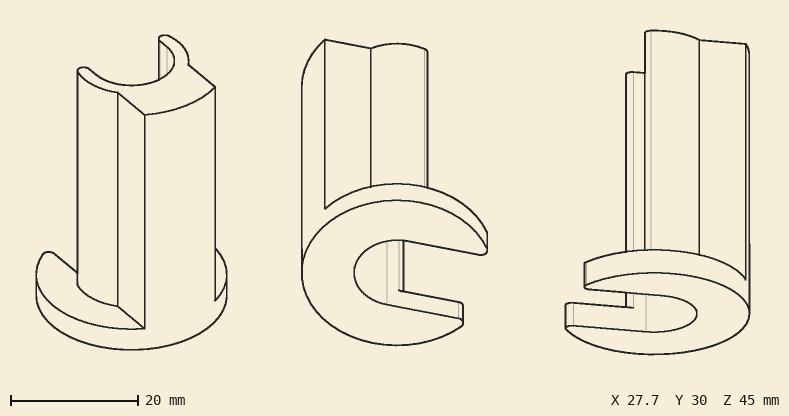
import cadquery as cq
import math

total_height = 45.0
flange_height = 4.0
flange_radius = 15.0
sleeve_radius = 9.0
bore_radius = 6.75
tip_radius = 1.0


def make_c_shape(outer_radius, height):
    """C-shaped extrusion: a disc with a U-shaped opening and two rounded tips.

    Each tip arc is tangent to both the outer circle and the side of the opening.
    """
    tip_center_distance = outer_radius - tip_radius
    tip_center_y = bore_radius + tip_radius
    tip_center_x = -math.sqrt(tip_center_distance**2 - tip_center_y**2)

    tangent_scale = outer_radius / tip_center_distance
    tangent_x = tip_center_x * tangent_scale
    tangent_y = tip_center_y * tangent_scale
    tip_end_x = tip_center_x - tip_radius

    return (
        cq.Workplane("XY")
        .moveTo(tip_center_x, bore_radius)
        .lineTo(0, bore_radius)
        .threePointArc((bore_radius, 0), (0, -bore_radius))
        .lineTo(tip_center_x, -bore_radius)
        .threePointArc((tip_end_x, -tip_center_y), (tangent_x, -tangent_y))
        .threePointArc((outer_radius, 0), (tangent_x, tangent_y))
        .threePointArc((tip_end_x, tip_center_y), (tip_center_x, bore_radius))
        .close()
        .extrude(height)
    )


def make_spine():
    """Full-height block behind the bore, as wide as the bore and ending on the flange's round rim."""
    rim_corner_x = math.sqrt(flange_radius**2 - bore_radius**2)
    return (
        cq.Workplane("XY")
        .moveTo(0, -bore_radius)
        .lineTo(rim_corner_x, -bore_radius)
        .threePointArc((flange_radius, 0), (rim_corner_x, bore_radius))
        .lineTo(0, bore_radius)
        .threePointArc((bore_radius, 0), (0, -bore_radius))
        .close()
        .extrude(total_height)
    )


flange = make_c_shape(flange_radius, flange_height)
sleeve = make_c_shape(sleeve_radius, total_height)
result = flange.union(sleeve).union(make_spine()).clean()